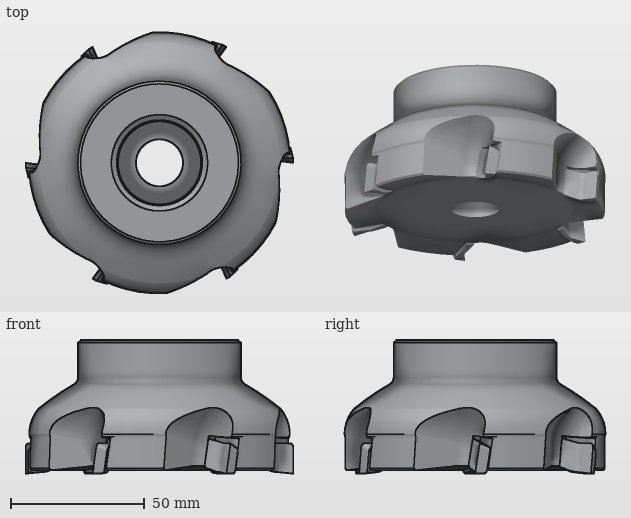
import cadquery as cq
import math

BODY_HEIGHT = 50.0
HUB_RADIUS = 30.5
HUB_EDGE_BREAK_WIDTH = 1.0
HUB_EDGE_BREAK_HEIGHT = 0.7
HUB_STEP_HEIGHT = 0.3
HUB_FOOT_Z = 35.7
NECK_RADIUS = 31.9
NECK_Z = 33.5
NECK_FILLET_RADIUS = 3.0
SHOULDER_RADIUS = 45.1
SHOULDER_Z = 24.4
FLANK_BULGE = 0.3
BODY_DIAMETER = 97.7
BODY_RADIUS = BODY_DIAMETER / 2
SHOULDER_END_Z = 14.8
RIM_RADIUS = 48.6
RIM_TOP_Z = 13.9
RIM_BOTTOM_Z = 1.3
RIM_CHAMFER = 0.7
DISH_RADIUS = 37.0
DISH_Z = 3.0

BOLT_HOLE_DIAMETER = 17.5
BORE_DIAMETER = 32.0
BORE_CHAMFER = 2.0
BORE_STEP_Z = 32.0
LOWER_BORE_DIAMETER = 31.0
BORE_FLOOR_Z = 20.0

TOOTH_COUNT = 6
AXIAL_RAKE = 9.0

GULLET_FLOOR_ANGLE = 20.0
GULLET_FLOOR_X = 37.6
GULLET_FLOOR_Y = -8.4
GULLET_CORNER_RADIUS = 6.9
GULLET_FLOOR_LENGTH = 24.0
GULLET_ELBOW_Z = 11.2
GULLET_ELBOW_RADIUS = 14.8
GULLET_ELBOW_SWEEP = 90.0

TIP_RADIUS = 50.0
INSERT_INNER_X = 37.9
INSERT_INNER_Y = -2.9
INSERT_INNER_BACK_Y = 0.0
INSERT_BACK_X = 49.0
INSERT_BACK_Y = 4.2
BACK_RELIEF_X = 46.0
FACE_BEND_START = (42.4, 0.0)
FACE_BEND_END = (45.0, 0.5)
INSERT_TOP_Z = 11.7
INSERT_TOP_RISE = 1.8
INSERT_TOP_SLOPE = 15.0
INSERT_CORNER_RADIUS = 1.6
INSERT_HEEL_X = 42.5
INSERT_HEEL_Z = 0.7
INSERT_INNER_Z = 2.4
INSERT_BEVEL = 0.6
POCKET_BACK_X = 49.2
POCKET_BACK_Y = 4.9
POCKET_TOP_Z = 14.0

CLEAR = 5.0
TRIM_HALF_WIDTH = 15.0


def lean(shape):
    """Tilt a shape made in tooth axes so that its top leans backward."""
    return shape.rotate((0, 0, 0), (1, 0, 0), -AXIAL_RAKE)


def shoulder_arc_radius():
    """Radius of the arc that ends vertical at the full body radius."""
    width = BODY_RADIUS - SHOULDER_RADIUS
    height = SHOULDER_Z - SHOULDER_END_Z
    return (width**2 + height**2) / (2 * width)


def revolved_body():
    """Solid of revolution with hub, curved flank, rounded shoulder and dished underside."""
    hub_face_radius = HUB_RADIUS - HUB_EDGE_BREAK_WIDTH
    hub_step_z = BODY_HEIGHT - HUB_STEP_HEIGHT
    flank_width = SHOULDER_RADIUS - NECK_RADIUS
    flank_height = NECK_Z - SHOULDER_Z
    flank_length = math.hypot(flank_width, flank_height)
    flank_mid = (
        (NECK_RADIUS + SHOULDER_RADIUS) / 2 + FLANK_BULGE * flank_height / flank_length,
        (NECK_Z + SHOULDER_Z) / 2 + FLANK_BULGE * flank_width / flank_length,
    )
    return (
        cq.Workplane("YZ")
        .moveTo(0, BODY_HEIGHT)
        .lineTo(hub_face_radius, BODY_HEIGHT)
        .lineTo(hub_face_radius, hub_step_z)
        .lineTo(HUB_RADIUS, hub_step_z - HUB_EDGE_BREAK_HEIGHT)
        .lineTo(HUB_RADIUS, HUB_FOOT_Z)
        .radiusArc((NECK_RADIUS, NECK_Z), -NECK_FILLET_RADIUS)
        .threePointArc(flank_mid, (SHOULDER_RADIUS, SHOULDER_Z))
        .radiusArc((BODY_RADIUS, SHOULDER_END_Z), shoulder_arc_radius())
        .lineTo(RIM_RADIUS, RIM_TOP_Z)
        .lineTo(RIM_RADIUS, RIM_BOTTOM_Z + RIM_CHAMFER)
        .lineTo(RIM_RADIUS - RIM_CHAMFER, RIM_BOTTOM_Z)
        .lineTo(DISH_RADIUS, DISH_Z)
        .lineTo(0, DISH_Z)
        .close()
        .revolve(360, (0, 0, 0), (0, 1, 0))
    )


def bore():
    """Arbor bore, chamfered at the hub face, with a bolt hole through its floor."""
    bore_radius = BORE_DIAMETER / 2
    lower_radius = LOWER_BORE_DIAMETER / 2
    bolt_radius = BOLT_HOLE_DIAMETER / 2
    return (
        cq.Workplane("XZ")
        .moveTo(0, BODY_HEIGHT)
        .lineTo(bore_radius + BORE_CHAMFER, BODY_HEIGHT)
        .lineTo(bore_radius, BODY_HEIGHT - BORE_CHAMFER)
        .lineTo(bore_radius, BORE_STEP_Z)
        .lineTo(lower_radius, BORE_STEP_Z)
        .lineTo(lower_radius, BORE_FLOOR_Z)
        .lineTo(bolt_radius, BORE_FLOOR_Z)
        .lineTo(bolt_radius, 0)
        .lineTo(0, 0)
        .close()
        .revolve(360, (0, 0, 0), (0, 1, 0))
    )


def gullet():
    """Chip channel in front of the tooth at +X; its upper end bends outward."""
    slope = math.radians(GULLET_FLOOR_ANGLE)
    radius = GULLET_CORNER_RADIUS
    corner_x = GULLET_FLOOR_X + radius * math.cos(slope)
    corner_y = GULLET_FLOOR_Y + radius * math.sin(slope)
    wall_angle = math.pi / 2
    floor_angle = math.pi + slope
    arc_mid_angle = (wall_angle + floor_angle) / 2
    arc_mid = (
        corner_x + radius * math.cos(arc_mid_angle),
        corner_y + radius * math.sin(arc_mid_angle),
    )
    wall_y = corner_y + radius
    floor_end_x = GULLET_FLOOR_X + GULLET_FLOOR_LENGTH * math.sin(slope)
    floor_end_y = GULLET_FLOOR_Y - GULLET_FLOOR_LENGTH * math.cos(slope)
    elbow_axis_x = corner_x - radius + GULLET_ELBOW_RADIUS

    outline = (
        cq.Workplane("XY", origin=(0, 0, GULLET_ELBOW_Z))
        .moveTo(elbow_axis_x, floor_end_y)
        .lineTo(floor_end_x, floor_end_y)
        .lineTo(GULLET_FLOOR_X, GULLET_FLOOR_Y)
        .threePointArc(arc_mid, (corner_x, wall_y))
        .lineTo(elbow_axis_x, wall_y)
        .close()
        .val()
    )
    profile = cq.Workplane("XY", origin=(0, 0, GULLET_ELBOW_Z)).add(outline)
    channel = profile.toPending().extrude(-(GULLET_ELBOW_Z + CLEAR))
    elbow = profile.toPending().revolve(GULLET_ELBOW_SWEEP, (elbow_axis_x, 0, 0), (elbow_axis_x, 1, 0))
    return lean(channel.union(elbow))


def face_outline(plane):
    """Start an outline with the hooked cutting face, from the inner end to the tip."""
    return (
        plane.moveTo(INSERT_INNER_X, INSERT_INNER_Y)
        .lineTo(*FACE_BEND_START)
        .tangentArcPoint(FACE_BEND_END, relative=False)
        .lineTo(TIP_RADIUS, 0)
    )


def pocket():
    """Seat cut for the insert; above the insert it stays open to the outside."""
    return lean(
        face_outline(cq.Workplane("XY", origin=(0, 0, -CLEAR)))
        .lineTo(POCKET_BACK_X, POCKET_BACK_Y)
        .lineTo(INSERT_INNER_X, INSERT_INNER_BACK_Y)
        .close()
        .extrude(POCKET_TOP_Z + CLEAR)
    )


def below_insert_top():
    """Space under the sloping insert top; its round corner runs along the outer flank."""
    flank_angle = math.degrees(math.atan2(TIP_RADIUS - INSERT_BACK_X, INSERT_BACK_Y))
    inner_x = INSERT_INNER_X - CLEAR
    return (
        cq.Workplane("XZ", origin=(0, 0, INSERT_TOP_Z))
        .moveTo(inner_x, INSERT_TOP_RISE)
        .lineTo(TIP_RADIUS - INSERT_CORNER_RADIUS, 0)
        .radiusArc((TIP_RADIUS, -INSERT_CORNER_RADIUS), INSERT_CORNER_RADIUS)
        .lineTo(TIP_RADIUS + CLEAR, -INSERT_CORNER_RADIUS)
        .lineTo(TIP_RADIUS + CLEAR, -INSERT_TOP_Z - 2 * CLEAR)
        .lineTo(inner_x, -INSERT_TOP_Z - 2 * CLEAR)
        .close()
        .extrude(TRIM_HALF_WIDTH, both=True)
        .rotate((0, 0, INSERT_TOP_Z), (1, 0, INSERT_TOP_Z), -INSERT_TOP_SLOPE)
        .rotate((TIP_RADIUS, 0, 0), (TIP_RADIUS, 0, 1), flank_angle)
    )


def above_insert_bottom():
    """Space over the insert underside, which rises inward and is bevelled at the back."""
    side = (
        cq.Workplane("XZ")
        .moveTo(TIP_RADIUS, 0)
        .lineTo(INSERT_HEEL_X, INSERT_HEEL_Z)
        .lineTo(INSERT_INNER_X, INSERT_INNER_Z)
        .lineTo(INSERT_INNER_X, BODY_HEIGHT)
        .lineTo(TIP_RADIUS, BODY_HEIGHT)
        .close()
        .extrude(TRIM_HALF_WIDTH, both=True)
    )
    bevel = (
        cq.Workplane("YZ")
        .moveTo(INSERT_BACK_Y - INSERT_BEVEL, 0)
        .lineTo(INSERT_BACK_Y + CLEAR, INSERT_BEVEL + CLEAR)
        .lineTo(INSERT_BACK_Y + CLEAR, 0)
        .close()
        .extrude(TIP_RADIUS)
    )
    return side.cut(bevel)


def insert():
    """Cutting insert of the tooth at +X."""
    seat_slope = (POCKET_BACK_Y - INSERT_INNER_BACK_Y) / (POCKET_BACK_X - INSERT_INNER_X)
    relief_start_y = INSERT_INNER_BACK_Y + seat_slope * (BACK_RELIEF_X - INSERT_INNER_X)
    plate = (
        face_outline(cq.Workplane("XY", origin=(0, 0, -CLEAR)))
        .lineTo(INSERT_BACK_X, INSERT_BACK_Y)
        .lineTo(BACK_RELIEF_X, relief_start_y)
        .lineTo(INSERT_INNER_X, INSERT_INNER_BACK_Y)
        .close()
        .extrude(POCKET_TOP_Z + CLEAR)
    )
    return lean(plate.intersect(below_insert_top())).intersect(above_insert_bottom())


body = revolved_body().cut(bore())
gullet_cut = gullet()
pocket_cut = pocket()
insert_shape = insert()
inserts = []
for tooth in range(TOOTH_COUNT):
    angle = tooth * 360 / TOOTH_COUNT
    body = body.cut(gullet_cut.rotate((0, 0, 0), (0, 0, 1), angle))
    body = body.cut(pocket_cut.rotate((0, 0, 0), (0, 0, 1), angle))
    inserts.append(insert_shape.rotate((0, 0, 0), (0, 0, 1), angle))

result = cq.Compound.makeCompound([body.val(), *[piece.val() for piece in inserts]])